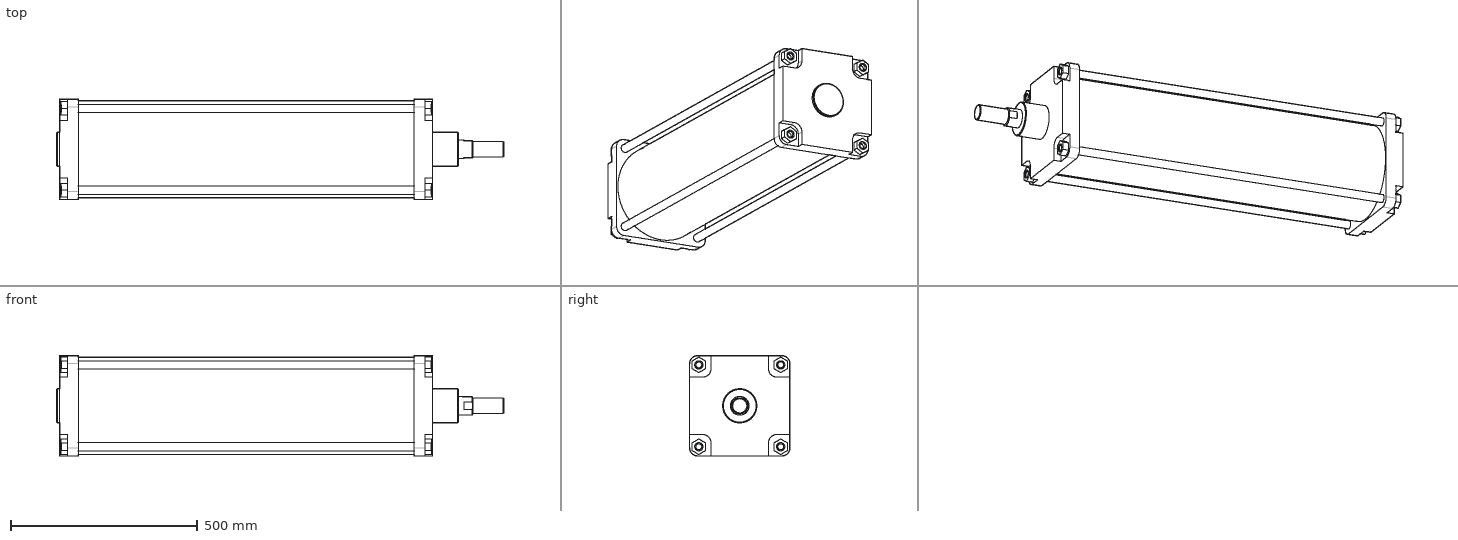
import cadquery as cq
import math

COVER_WIDTH = 270.0
COVER_THICKNESS = 50.0
COVER_CORNER_RADIUS = 22.0
BODY_LENGTH = 1002.0
BARREL_DIAMETER = 262.0

COLLAR_DIAMETER = 92.0
REAR_COLLAR_LENGTH = 8.0
FRONT_COLLAR_LENGTH = 69.0
COLLAR_CHAMFER = 2.0

POCKET_SIZE = 58.0
POCKET_DEPTH = 21.0
POCKET_RADIUS = 23.0

TIE_ROD_SPACING = 220.0
TIE_ROD_DIAMETER = 22.0
NUT_ACROSS_FLATS = 36.0
NUT_ACROSS_CORNERS = NUT_ACROSS_FLATS / math.cos(math.pi / 6)
NUT_RECESS = 3.5
NUT_HEIGHT = POCKET_DEPTH - NUT_RECESS
SOCKET_DIAMETER = 16.0
SOCKET_DEPTH = 12.0
COUNTERSINK_DIAMETER = 22.0
COUNTERSINK_DEPTH = 1.5

ROD_DIAMETER = 50.0
ROD_EXPOSED_LENGTH = 122.0
FLATS_ACROSS = 46.0
FLATS_START = 15.0
SHOULDER_LENGTH = 39.0
SHOULDER_CHAMFER_LENGTH = 2.0
SHOULDER_CHAMFER_DEPTH = 3.5
THREAD_DIAMETER = 42.0
THREAD_CHAMFER = 2.0

ROD_START_X = BODY_LENGTH + FRONT_COLLAR_LENGTH
HALF_WIDTH = COVER_WIDTH / 2
ROD_OFFSET = TIE_ROD_SPACING / 2
CORNERS = [(y, z) for y in (-1, 1) for z in (-1, 1)]


def plane_at(x):
    """Work plane facing +X whose local axes are Y and Z."""
    return cq.Workplane("YZ", origin=(x, 0, 0))


def cylinder(x, length, diameter):
    return plane_at(x).circle(diameter / 2).extrude(length)


def make_cover(collar_length):
    """Cover with its inner face at x = 0 and its outer face towards +X."""
    cover = plane_at(0).rect(COVER_WIDTH, COVER_WIDTH).extrude(COVER_THICKNESS)
    cover = cover.edges("|X").fillet(COVER_CORNER_RADIUS)

    block_size = 2 * POCKET_SIZE
    for side_y, side_z in CORNERS:
        pocket = (
            plane_at(COVER_THICKNESS - POCKET_DEPTH)
            .center(side_y * HALF_WIDTH, side_z * HALF_WIDTH)
            .rect(block_size, block_size)
            .extrude(POCKET_DEPTH)
            .edges("|X")
            .fillet(POCKET_RADIUS)
        )
        cover = cover.cut(pocket)

    rod_holes = (
        plane_at(0)
        .rect(TIE_ROD_SPACING, TIE_ROD_SPACING, forConstruction=True)
        .vertices()
        .circle(TIE_ROD_DIAMETER / 2)
        .extrude(COVER_THICKNESS)
    )
    collar = cylinder(COVER_THICKNESS, collar_length, COLLAR_DIAMETER)
    collar = collar.faces(">X").chamfer(COLLAR_CHAMFER)
    return cover.cut(rod_holes).union(collar)


def make_barrel():
    return cylinder(COVER_THICKNESS, BODY_LENGTH - 2 * COVER_THICKNESS, BARREL_DIAMETER)


def make_socket():
    """Cutter for a countersunk blind hole that opens at x = 0 and runs towards +X."""
    socket_profile = [
        (0, 0),
        (0, COUNTERSINK_DIAMETER / 2),
        (COUNTERSINK_DEPTH, SOCKET_DIAMETER / 2),
        (SOCKET_DEPTH, SOCKET_DIAMETER / 2),
        (SOCKET_DEPTH, 0),
    ]
    return cq.Workplane("XY").polyline(socket_profile).close().revolve(360, (0, 0, 0), (1, 0, 0))


def make_tie_rod(y, z):
    """Tie rod along X with a nut seated on the floor of each pocket, nut corners towards +Z and -Z."""
    rod = cylinder(NUT_RECESS, BODY_LENGTH - 2 * NUT_RECESS, TIE_ROD_DIAMETER)
    for nut_x in (NUT_RECESS, BODY_LENGTH - POCKET_DEPTH):
        nut_plane = plane_at(nut_x).transformed(rotate=(0, 0, 90))
        rod = rod.union(nut_plane.polygon(6, NUT_ACROSS_CORNERS).extrude(NUT_HEIGHT))

    rear_socket = make_socket().translate((NUT_RECESS, 0, 0))
    front_socket = make_socket().mirror("YZ").translate((BODY_LENGTH - NUT_RECESS, 0, 0))
    return rod.cut(rear_socket).cut(front_socket).translate((0, y, z))


def make_piston_rod():
    shoulder = cylinder(ROD_START_X, SHOULDER_LENGTH, ROD_DIAMETER)
    shoulder = shoulder.faces(">X").chamfer(SHOULDER_CHAMFER_LENGTH, SHOULDER_CHAMFER_DEPTH)

    round_part = cylinder(ROD_START_X, FLATS_START, ROD_DIAMETER)
    flats_length = SHOULDER_LENGTH - FLATS_START
    flats_plane = plane_at(ROD_START_X + FLATS_START)
    between_flats = flats_plane.rect(FLATS_ACROSS, ROD_DIAMETER).extrude(flats_length)
    shoulder = shoulder.intersect(round_part.union(between_flats))

    thread = cylinder(ROD_START_X, ROD_EXPOSED_LENGTH, THREAD_DIAMETER)
    thread = thread.faces(">X").chamfer(THREAD_CHAMFER)
    return shoulder.union(thread)


rear_cover = make_cover(REAR_COLLAR_LENGTH).mirror("YZ").translate((COVER_THICKNESS, 0, 0))
front_cover = make_cover(FRONT_COLLAR_LENGTH).translate((BODY_LENGTH - COVER_THICKNESS, 0, 0))
barrel = make_barrel()
tie_rods = [make_tie_rod(y * ROD_OFFSET, z * ROD_OFFSET) for y, z in CORNERS]
piston_rod = make_piston_rod()

result = cq.Compound.makeCompound(
    [
        rear_cover.val(),
        front_cover.val(),
        barrel.val(),
        *[tie_rod.val() for tie_rod in tie_rods],
        piston_rod.val(),
    ]
)